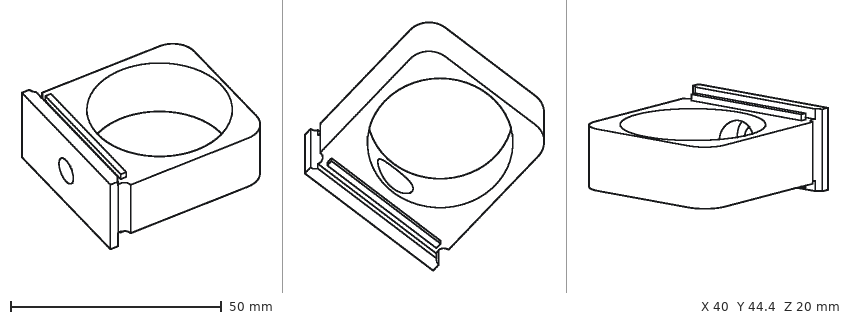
import cadquery as cq

width = 40.0
depth = 44.4
plate_height = 20.0
plate_thickness = 3.0

block_height = 15.0
corner_radius = 6.0
bore_diameter = 34.5
back_wall = 1.1
bore_center_y = depth - back_wall - bore_diameter / 2

ridge_length = 34.0
ridge_front_y = 4.7
ridge_width = 1.55
ridge_height = 1.5

groove_radius = 1.75
groove_center_y = 3.85

screw_hole_diameter = 6.5
head_recess_diameter = 11.0


def centered_box(size_x, front_y, size_y, size_z):
    """Box centered on X and Z, starting at front_y."""
    return cq.Workplane("XY").box(size_x, size_y, size_z).translate((0, front_y + size_y / 2, 0))


def ring_block():
    """Block with rounded back corners."""
    block = centered_box(width, 0, depth, block_height)
    return block.edges("|Z and >Y").fillet(corner_radius)


def vertical_cylinders(points, radius):
    """Cutters that run the full height of the part."""
    plane = cq.Workplane("XY").workplane(offset=-plate_height / 2)
    return plane.pushPoints(points).circle(radius).extrude(plate_height)


def cylinder_along_y(diameter, start_y, end_y):
    """Cutter on the Y axis between two Y positions."""
    plane = cq.Workplane("XZ", origin=(0, start_y, 0))
    return plane.circle(diameter / 2).extrude(start_y - end_y)


front_plate = centered_box(width, 0, plate_thickness, plate_height)

ridges = centered_box(ridge_length, ridge_front_y, ridge_width, block_height + 2 * ridge_height)

bore = vertical_cylinders([(0, bore_center_y)], bore_diameter / 2)

groove_points = [(side * width / 2, groove_center_y) for side in (-1, 1)]
side_grooves = vertical_cylinders(groove_points, groove_radius)

screw_hole = cylinder_along_y(screw_hole_diameter, 0, plate_thickness)
head_recess = cylinder_along_y(head_recess_diameter, plate_thickness, bore_center_y)

body = ring_block().union(front_plate).union(ridges)
result = body.cut(bore).cut(side_grooves).cut(screw_hole).cut(head_recess)